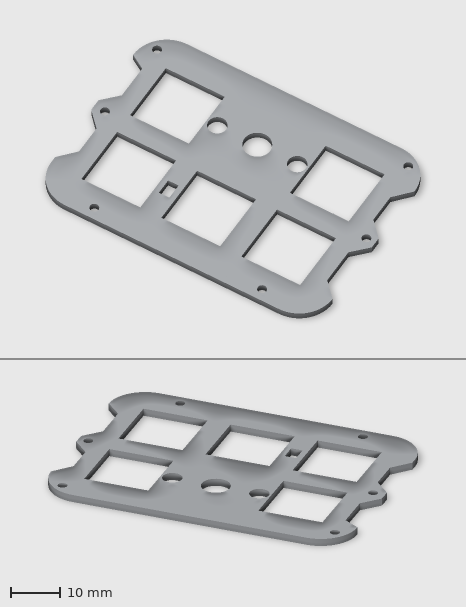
import cadquery as cq

length = 67.15
width = 48.1
thickness = 1.6
corner_radius = 8.0

notch_depth = 3.4
left_notches = [(16.0, 14.0, 6.0, 2.4), (-0.4, -3.95, -10.8, -14.6)]
right_notches = [(16.0, 12.15, 5.5, 1.95), (-0.75, -4.3, -12.6, -16.1)]

key_size = 14.05
key_pitch = 19.1
upper_row_y = key_pitch / 2
lower_row_y = -key_pitch / 2
key_centers = [
    (-key_pitch, upper_row_y),
    (key_pitch, upper_row_y),
    (-key_pitch, lower_row_y),
    (0, lower_row_y),
    (key_pitch, lower_row_y),
]

middle_hole_diameter = 6.1
side_hole_diameter = 4.15
side_hole_x = key_pitch / 2

window_length = 2.5
window_width = 3.6
window_center = (-key_pitch / 2, lower_row_y)

screw_diameter = 2.0
screw_centers = [
    (-30.1, 19.7),
    (29.15, 20.8),
    (-30.95, 0.7),
    (31.4, 0.7),
    (-20.0, -21.5),
    (20.0, -21.5),
]


def make_plate():
    """Flat plate with rounded corners, resting on Z = 0."""
    plate = cq.Workplane("XY").box(length, width, thickness, centered=(True, True, False))
    return plate.edges("|Z").fillet(corner_radius)


def notch_cutter(side, mouth_top, floor_top, floor_bottom, mouth_bottom):
    """Tapered notch in the left (side = -1) or right (side = 1) edge."""
    edge_x = side * length / 2
    floor_x = side * (length / 2 - notch_depth)
    outside_x = side * (length / 2 + notch_depth)
    outline = [
        (outside_x, mouth_top),
        (edge_x, mouth_top),
        (floor_x, floor_top),
        (floor_x, floor_bottom),
        (edge_x, mouth_bottom),
        (outside_x, mouth_bottom),
    ]
    return cq.Workplane("XY").polyline(outline).close().extrude(thickness)


def rectangle_cutter(centers, size_x, size_y):
    return cq.Workplane("XY").pushPoints(centers).rect(size_x, size_y).extrude(thickness)


def hole_cutter(centers, diameter):
    return cq.Workplane("XY").pushPoints(centers).circle(diameter / 2).extrude(thickness)


result = make_plate()

for side, notches in ((-1, left_notches), (1, right_notches)):
    for notch in notches:
        result = result.cut(notch_cutter(side, *notch))

result = result.cut(rectangle_cutter(key_centers, key_size, key_size))
result = result.cut(rectangle_cutter([window_center], window_length, window_width))
result = result.cut(hole_cutter([(0, upper_row_y)], middle_hole_diameter))
result = result.cut(hole_cutter([(-side_hole_x, upper_row_y), (side_hole_x, upper_row_y)], side_hole_diameter))
result = result.cut(hole_cutter(screw_centers, screw_diameter))